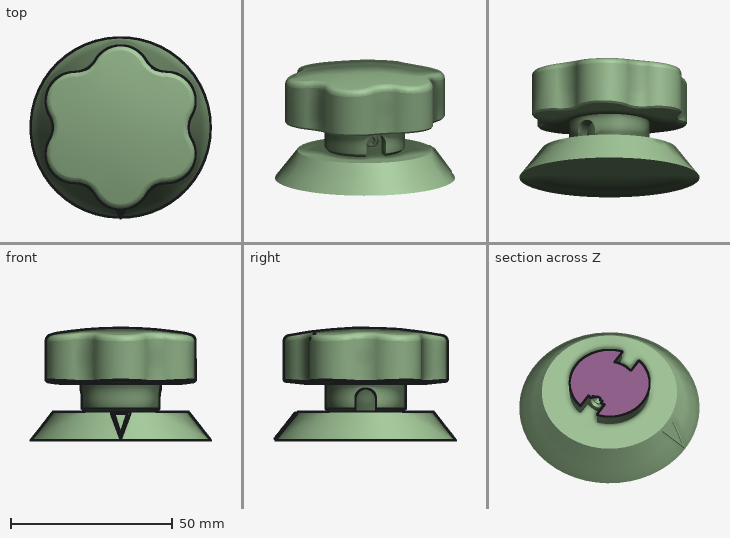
import cadquery as cq
import math

TOTAL_HEIGHT = 35.0

SKIRT_BASE_RADIUS = 28.0
SKIRT_TOP_RADIUS = 21.0
SKIRT_HEIGHT = 8.9

NECK_RADIUS = 25.0 / 2
NECK_CHAMFER = 1.0

LOBE_COUNT = 6
LOBE_PITCH = 2 * math.pi / LOBE_COUNT
LOBE_CENTER_RADIUS = 16.4
LOBE_RADIUS = 9.1
LOBE_TIP_RADIUS = LOBE_CENTER_RADIUS + LOBE_RADIUS
JOINT_X = LOBE_CENTER_RADIUS + LOBE_RADIUS * math.cos(LOBE_PITCH)
JOINT_Y = LOBE_RADIUS * math.sin(LOBE_PITCH)
JOINT_RADIUS = math.hypot(JOINT_X, JOINT_Y)
JOINT_ANGLE = math.atan2(JOINT_Y, JOINT_X)
HOLLOW_CENTER_RADIUS = 2 * LOBE_CENTER_RADIUS * math.cos(LOBE_PITCH / 2)
HOLLOW_BOTTOM_RADIUS = HOLLOW_CENTER_RADIUS - (LOBE_CENTER_RADIUS - LOBE_RADIUS)

GRIP_BOTTOM_Z = 17.4
GRIP_FLAT_RADIUS = 35.5 / 2
UNDERSIDE_RISE = 0.85
DOME_RADIUS = 120.0
GRIP_TOP_FILLET = 2.0
GRIP_BOTTOM_CHAMFER = 0.55

SLOT_RADIUS = 3.2
SLOT_ARC_Z = 12.85
SLOT_FLOOR_RADIUS = 8.0

SCREW_Z = 13.0
SCREW_RADIUS = 4.0 / 2
SCREW_CHAMFER = 0.25
SCREW_FACE_X = -7.0
SOCKET_MOUTH_ACROSS_FLATS = 2.4
SOCKET_FLOOR_ACROSS_FLATS = 2.0
SOCKET_DEPTH = 1.5

POINTER_HEIGHT = 0.5
POINTER_TOP_WIDTH = 6.0
POINTER_APEX_GAP = 0.22
POINTER_TOP_GAP = 0.7
POINTER_ROOT = 0.5
RECESS_TOP_WIDTH = 4.0
RECESS_TOP_MARGIN = 0.5
RECESS_APEX_MARGIN = 1.95
RECESS_DEPTH = 0.3


def polar(radius, angle):
    return (radius * math.cos(angle), radius * math.sin(angle))


def make_skirt():
    profile = [(0, 0), (SKIRT_BASE_RADIUS, 0), (SKIRT_TOP_RADIUS, SKIRT_HEIGHT), (0, SKIRT_HEIGHT)]
    return cq.Workplane("XZ").polyline(profile).close().revolve(360, (0, 0), (0, 1))


def make_neck():
    height = GRIP_BOTTOM_Z - SKIRT_HEIGHT
    neck = cq.Workplane("XY").workplane(offset=SKIRT_HEIGHT).circle(NECK_RADIUS).extrude(height)
    neck = neck.faces("<Z").chamfer(NECK_CHAMFER)
    return neck.cut(make_slot())


def make_slot():
    """Round-topped channel along X that leaves a round hub standing in the middle."""
    depth = SLOT_ARC_Z - SKIRT_HEIGHT
    channel = cq.Workplane("YZ").center(0, SLOT_ARC_Z).circle(SLOT_RADIUS).extrude(NECK_RADIUS, both=True)
    lower = cq.Workplane("YZ").center(0, SLOT_ARC_Z - depth / 2).rect(2 * SLOT_RADIUS, depth)
    channel = channel.union(lower.extrude(NECK_RADIUS, both=True))
    hub = cq.Workplane("XY").circle(SLOT_FLOOR_RADIUS).extrude(TOTAL_HEIGHT)
    return channel.cut(hub)


def make_grip_outline():
    """Closed outline of the lobes, with one lobe on the +Y axis."""
    first_angle = math.pi / 2
    outline = cq.Workplane("XY").moveTo(*polar(JOINT_RADIUS, first_angle - JOINT_ANGLE))
    for i in range(LOBE_COUNT):
        axis = first_angle + i * LOBE_PITCH
        outline = outline.threePointArc(
            polar(LOBE_TIP_RADIUS, axis),
            polar(JOINT_RADIUS, axis + JOINT_ANGLE),
        )
        outline = outline.threePointArc(
            polar(HOLLOW_BOTTOM_RADIUS, axis + LOBE_PITCH / 2),
            polar(JOINT_RADIUS, axis + LOBE_PITCH - JOINT_ANGLE),
        )
    return outline.close()


def make_grip():
    """Lobed column under a shallow dome, with an underside that rises outside a flat ring."""
    column = make_grip_outline().extrude(TOTAL_HEIGHT)
    rim = SKIRT_BASE_RADIUS
    slope = UNDERSIDE_RISE / (LOBE_TIP_RADIUS - GRIP_FLAT_RADIUS)
    rim_bottom_z = GRIP_BOTTOM_Z + slope * (rim - GRIP_FLAT_RADIUS)
    underside = (
        cq.Workplane("XZ")
        .moveTo(0, GRIP_BOTTOM_Z)
        .lineTo(GRIP_FLAT_RADIUS, GRIP_BOTTOM_Z)
        .lineTo(rim, rim_bottom_z)
        .lineTo(rim, TOTAL_HEIGHT)
        .lineTo(0, TOTAL_HEIGHT)
        .close()
        .revolve(360, (0, 0), (0, 1))
    )
    dome = cq.Workplane("XZ").sphere(DOME_RADIUS).rotate((0, 0, 0), (0, 1, 0), 90)
    dome = dome.translate((0, 0, TOTAL_HEIGHT - DOME_RADIUS))
    grip = column.intersect(underside).intersect(dome)
    grip = grip.faces(">Z").edges().fillet(GRIP_TOP_FILLET)
    return grip.faces("%CONE").edges("not %CIRCLE").chamfer(GRIP_BOTTOM_CHAMFER)


def make_triangle(plane, top_width, top_v, apex_v, height):
    points = [(-top_width / 2, top_v), (top_width / 2, top_v), (0, apex_v)]
    return cq.Workplane(plane).polyline(points).close().extrude(height)


def add_pointer(body):
    run = SKIRT_BASE_RADIUS - SKIRT_TOP_RADIUS
    slant = math.hypot(run, SKIRT_HEIGHT)
    tangent = cq.Plane(
        origin=(0, -SKIRT_BASE_RADIUS, 0),
        xDir=(1, 0, 0),
        normal=(0, -SKIRT_HEIGHT, run),
    )
    top_v = slant - POINTER_TOP_GAP
    root = cq.Plane(tangent.toWorldCoords((0, 0, -POINTER_ROOT)), tangent.xDir, tangent.zDir)
    frame = make_triangle(
        root, POINTER_TOP_WIDTH, top_v, POINTER_APEX_GAP, POINTER_ROOT + POINTER_HEIGHT
    )
    floor = cq.Plane(
        tangent.toWorldCoords((0, 0, POINTER_HEIGHT - RECESS_DEPTH)), tangent.xDir, tangent.zDir
    )
    recess = make_triangle(
        floor,
        RECESS_TOP_WIDTH,
        top_v - RECESS_TOP_MARGIN,
        POINTER_APEX_GAP + RECESS_APEX_MARGIN,
        RECESS_DEPTH,
    )
    above_base = cq.Workplane("XY").circle(2 * SKIRT_BASE_RADIUS).extrude(SKIRT_HEIGHT)
    return body.union(frame.intersect(above_base)).cut(recess)


def make_screw_plane(x):
    return cq.Workplane("YZ").workplane(offset=x).center(0, SCREW_Z)


def make_screw_hole():
    """Hole in the hub down to the screw end, with a ring of space round the end's chamfer."""
    ring_x = SCREW_FACE_X + SCREW_CHAMFER
    hole = make_screw_plane(ring_x).circle(SCREW_RADIUS).extrude(-SLOT_FLOOR_RADIUS - ring_x)
    screw_end = (
        make_screw_plane(ring_x)
        .circle(SCREW_RADIUS)
        .workplane(offset=-SCREW_CHAMFER)
        .circle(SCREW_RADIUS - SCREW_CHAMFER)
        .loft()
    )
    return hole.cut(screw_end)


def make_hex_socket():
    corner_ratio = 1 / math.cos(math.pi / 6)
    return (
        make_screw_plane(SCREW_FACE_X)
        .polygon(6, SOCKET_MOUTH_ACROSS_FLATS * corner_ratio)
        .workplane(offset=SOCKET_DEPTH)
        .polygon(6, SOCKET_FLOOR_ACROSS_FLATS * corner_ratio)
        .loft()
    )


body = make_skirt().union(make_neck()).union(make_grip())
body = add_pointer(body)
result = body.cut(make_screw_hole()).cut(make_hex_socket())